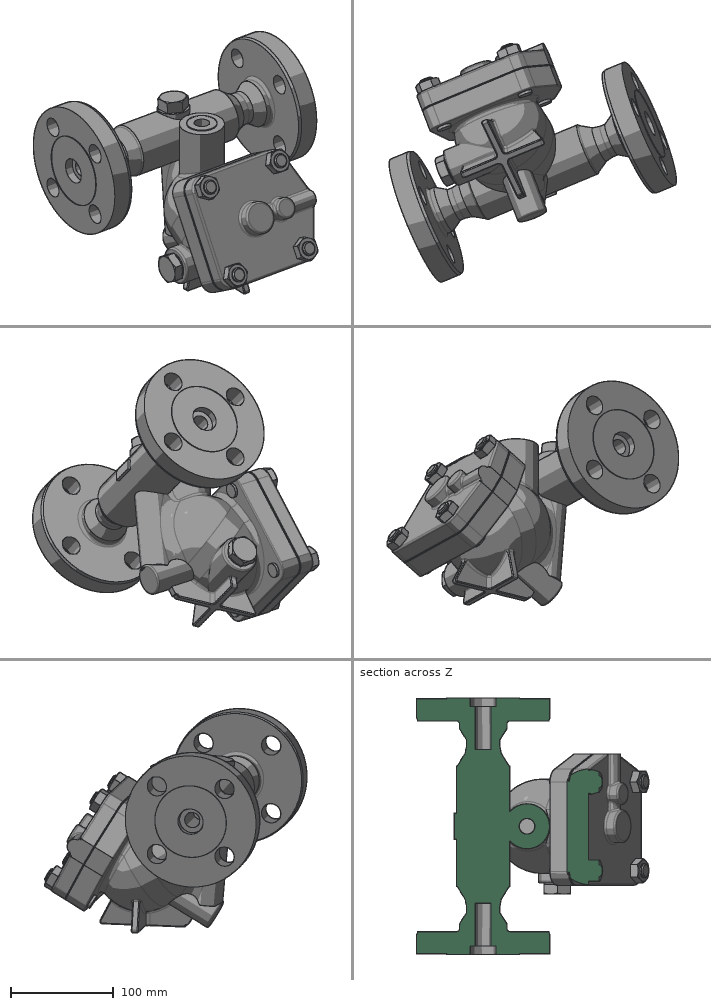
import cadquery as cq
import math


LENGTH = 250.0
FLANGE_DIA = 130.0
RAISED_FACE_DIA = 71.0
RAISED_FACE_HEIGHT = 0.8
FLANGE_BACK_Y = 102.5
FLANGE_EDGE = 3.0
FLANGE_EDGE_DEPTH = 1.0
FLANGE_BOLT_CIRCLE = 95.0
FLANGE_HOLE_DIA = 19.0
HUB_DIA = 46.5
HUB_ROOT = 3.0
HUB_START_Y = 95.0
WAIST_DIA = 32.5
WAIST_OUTER_Y = 84.0
WAIST_INNER_Y = 78.8
TAPER_DIA = 35.5
TAPER_Y = 71.0
PIPE_DIA = 52.0
PIPE_HALF_LENGTH = 58.5
PIPE_CHAMFER = 1.5
SOCKET_DIA = 25.0
SOCKET_DEPTH = 8.2
BORE_DIA = 15.0
BORE_DEPTH = 50.0

PAD_LENGTH = 25.5
PAD_HEIGHT = 10.5
PAD_FACE_X = -28.2

LEG_LEAN = 5.0
LEG_DIA = 30.5
LEG_LENGTH = 105.0
COLLAR_DIA = 32.0
COLLAR_TOP = 27.5
PLUG_TOP = 39.0
PLUG_FLATS = 26.0

PORT_X = 42.8
PORT_DIA = 44.0
PORT_TOP_Z = 29.0
PORT_FACE_DIA = 29.5
PORT_FACE_HEIGHT = 1.0
PORT_FLARE = 4.2

BALL_RADIUS = 46.0
UPPER_BALL = (57.5, -59.5)
LOWER_BALL = (73.8, -69.0)

TILT = 30.0
JOINT_SHIFT = -98.0
BODY_FLANGE_BACK = 51.0
BODY_FLANGE_FRONT = 72.2
GASKET = 1.0
GASKET_INSET = 1.0
COVER_FACE = 89.2
JOINT_HALF_HEIGHT = 57.2
JOINT_SIDE = 57.5
JOINT_SHOULDER = 52.2
JOINT_PEAK = 70.5
JOINT_PEAK_HALF = 10.5
JOINT_CORNER = 13.5
JOINT_EDGE = 2.0
BODY_FLANGE_EDGE = 1.0
CHAMBER_FILLET = 4.2
LEG_FILLET = 12.5
FOOT_FILLET = 2.5
DRAIN_FILLET = 1.0

STUD_SIDE = 43.2
STUD_HEIGHT = 45.0
STUD_DIA = 14.0
STUD_CHAMFER = 1.2
STUD_TOP = 100.5
NUT_TOP = 97.8
NUT_FLATS = 21.0
STUD_BACK = 48.2

COVER_BOSS_TOP = 101.2
LARGE_BOSS_DIA = 32.0
SMALL_BOSS_DIA = 21.0
SMALL_BOSS_SIDE = 31.8
BOSS_ROOT = 2.0
BOSS_EDGE = 2.0
RIB_DIA = 15.0

STRAINER_DIA = 30.0
STRAINER_END = -57.8
STRAINER_SHIFT = -100.8
STRAINER_EDGE = 1.5

DRAIN_X = 72.2
DRAIN_Z = -97.8
DRAIN_DIA = 37.0
DRAIN_END = 55.2
DRAIN_EDGE = 1.8
DRAIN_SEAT_DIA = 26.0
DRAIN_SEAT_END = 56.8
DRAIN_PLUG_END = 66.0

FOOT_Z = -129.0
FOOT_HALF_WIDTH = 44.5
FOOT_SLOPE_X = 0.52
FOOT_SLOPE_Y = 0.28
FOOT_HEIGHT = 50.0
WEB_HEIGHT = 15.0
FOOT_THICKNESS = 7.0
FOOT_CROSS_FILLET = 3.5
FOOT_EDGE = 1.0
FOOT_CORNER = 2.5

HEX_HALF_STEP = 30.0

SEAM_SAMPLES = (0.3, 0.5, 0.7)
SEAM_TOLERANCE = 0.002

NECK_TOLERANCE = 1e-3

leg_plane = cq.Plane(
    origin=(0, 0, 0),
    xDir=(0, 1, 0),
    normal=(-math.sin(math.radians(LEG_LEAN)), 0, math.cos(math.radians(LEG_LEAN))),
)


def tilted_plane(distance, shift=JOINT_SHIFT):
    """Plane across the joint normal: local x is +Y, local y climbs along the joint face."""
    normal_x = math.cos(math.radians(TILT))
    normal_z = math.sin(math.radians(TILT))
    origin = (distance * normal_x - shift * normal_z, 0, distance * normal_z + shift * normal_x)
    return cq.Plane(origin=origin, xDir=(0, 1, 0), normal=(normal_x, 0, normal_z))


OUTERMOST = cq.selectors.DirectionMinMaxSelector(tilted_plane(0).zDir)
INNERMOST = cq.selectors.DirectionMinMaxSelector(tilted_plane(0).zDir, False)


def tilted_rod(dia, start, end, side=0.0, climb=0.0):
    """Cylinder along the joint normal, placed from the middle of the joint."""
    return cq.Workplane(tilted_plane(start)).center(side, climb).circle(dia / 2).extrude(end - start)


def joined_with_fillet(parts, radius):
    """Union of parts, with a fillet along every seam where two of their surfaces meet."""
    joined = parts[0]
    for part in parts[1:]:
        joined = joined.union(part)
    skins = [part.val().Shells()[0] for part in parts]
    seams = []
    for edge in joined.edges().vals():
        samples = [cq.Vertex.makeVertex(*edge.positionAt(t).toTuple()) for t in SEAM_SAMPLES]
        touched = [skin for skin in skins if all(s.distance(skin) < SEAM_TOLERANCE for s in samples)]
        if len(touched) > 1:
            seams.append(edge)
    return joined.newObject(seams).fillet(radius)


def hex_head(plane, flats, height, turn=0.0, side=0.0, climb=0.0):
    """Hexagon with its outer corners turned down to a bevel."""
    corners = flats / math.cos(math.radians(HEX_HALF_STEP))
    bevel = (corners - flats) / 2
    prism = cq.Workplane("XY").polygon(6, corners).extrude(height)
    turned = cq.Workplane("XY").circle(corners / 2).extrude(height)
    turned = turned.faces(">Z").chamfer(bevel / 2, bevel)
    head = prism.intersect(turned).rotate((0, 0, 0), (0, 0, 1), turn)
    head = head.translate((side, climb, 0))
    return cq.Workplane(head.val().moved(cq.Location(plane)))


def pipe_end():
    """Taper, waist, hub and flange at the +Y end, turned about Y."""
    edge_radius = FLANGE_DIA / 2 - FLANGE_EDGE_DEPTH
    face_y = LENGTH / 2 - RAISED_FACE_HEIGHT
    hub_radius = HUB_DIA / 2
    return (
        cq.Workplane("XY")
        .moveTo(0, PIPE_HALF_LENGTH)
        .lineTo(PIPE_DIA / 2, PIPE_HALF_LENGTH)
        .lineTo(PIPE_DIA / 2 - PIPE_CHAMFER, PIPE_HALF_LENGTH + PIPE_CHAMFER)
        .lineTo(TAPER_DIA / 2, TAPER_Y)
        .lineTo(WAIST_DIA / 2, WAIST_INNER_Y)
        .lineTo(WAIST_DIA / 2, WAIST_OUTER_Y)
        .lineTo(hub_radius, HUB_START_Y)
        .lineTo(hub_radius, FLANGE_BACK_Y - HUB_ROOT)
        .radiusArc((hub_radius + HUB_ROOT, FLANGE_BACK_Y), HUB_ROOT)
        .lineTo(edge_radius, FLANGE_BACK_Y)
        .lineTo(FLANGE_DIA / 2, FLANGE_BACK_Y + FLANGE_EDGE)
        .lineTo(FLANGE_DIA / 2, face_y)
        .lineTo(RAISED_FACE_DIA / 2, face_y)
        .lineTo(RAISED_FACE_DIA / 2, LENGTH / 2)
        .lineTo(0, LENGTH / 2)
        .close()
        .revolve(360, (0, 0, 0), (0, 1, 0))
    )


def pipe():
    start = cq.Workplane("XZ", origin=(0, PIPE_HALF_LENGTH, 0))
    middle = start.circle(PIPE_DIA / 2).extrude(2 * PIPE_HALF_LENGTH)
    end = pipe_end()
    return middle.union(end).union(end.mirror("XZ"))


def pipe_holes():
    """Bolt holes, socket and bore of both flanges."""
    face = cq.Workplane("XZ", origin=(0, LENGTH / 2, 0))
    spacing = FLANGE_BOLT_CIRCLE / math.sqrt(2)
    holes = face.rect(spacing, spacing, forConstruction=True).vertices()
    cut = holes.circle(FLANGE_HOLE_DIA / 2).extrude(LENGTH / 2 - FLANGE_BACK_Y)
    cut = cut.union(face.circle(SOCKET_DIA / 2).extrude(SOCKET_DEPTH))
    cut = cut.union(face.circle(BORE_DIA / 2).extrude(BORE_DEPTH))
    return cut.union(cut.mirror("XZ"))


def joint_plate(start, end, inset=0.0):
    """Rounded square plate whose +Y side rises to a flat peak."""
    outline = [
        (-JOINT_SIDE, -JOINT_HALF_HEIGHT),
        (JOINT_SHOULDER, -JOINT_HALF_HEIGHT),
        (JOINT_PEAK, -JOINT_PEAK_HALF),
        (JOINT_PEAK, JOINT_PEAK_HALF),
        (JOINT_SHOULDER, JOINT_HALF_HEIGHT),
        (-JOINT_SIDE, JOINT_HALF_HEIGHT),
    ]
    plate = cq.Workplane("XY").polyline(outline).close().extrude(end - start)
    below_peak = cq.selectors.BoxSelector(
        (-LENGTH, -LENGTH, -LENGTH), (JOINT_PEAK - JOINT_CORNER, LENGTH, LENGTH)
    )
    plate = plate.edges("|Z").edges(below_peak).fillet(JOINT_CORNER)
    if inset:
        rim = plate.faces("<Z").wires().toPending()
        plate = rim.offset2D(-inset).extrude(end - start, combine=False)
    return cq.Workplane(plate.val().moved(cq.Location(tilted_plane(start))))


def chamber():
    """Stretched ball turned about the line through its two centres."""
    stretch_x = LOWER_BALL[0] - UPPER_BALL[0]
    stretch_z = LOWER_BALL[1] - UPPER_BALL[1]
    stretch = math.hypot(stretch_x, stretch_z)
    axis = cq.Plane(
        origin=(UPPER_BALL[0], 0, UPPER_BALL[1]),
        xDir=(stretch_x, 0, stretch_z),
        normal=(0, -1, 0),
    )
    arc_reach = BALL_RADIUS * math.sqrt(0.5)
    return (
        cq.Workplane(axis)
        .moveTo(-BALL_RADIUS, 0)
        .threePointArc((-arc_reach, arc_reach), (0, BALL_RADIUS))
        .lineTo(stretch, BALL_RADIUS)
        .threePointArc((stretch + arc_reach, arc_reach), (stretch + BALL_RADIUS, 0))
        .close()
        .revolve(360, (0, 0, 0), (1, 0, 0))
    )


def cover():
    floor = BODY_FLANGE_FRONT + GASKET
    plate = joint_plate(floor, COVER_FACE)
    large = tilted_rod(LARGE_BOSS_DIA, floor, COVER_BOSS_TOP)
    small = tilted_rod(SMALL_BOSS_DIA, floor, COVER_BOSS_TOP, SMALL_BOSS_SIDE)
    rib = cq.Workplane("XZ", origin=tilted_plane(COVER_FACE).origin.toTuple())
    rib = rib.circle(RIB_DIA / 2).extrude(-JOINT_PEAK)
    large = large.faces(OUTERMOST).edges().fillet(BOSS_EDGE)
    small = small.faces(OUTERMOST).edges().fillet(BOSS_EDGE)
    raised = joined_with_fillet([plate, rib, large, small], BOSS_ROOT)

    rounded = plate.faces(OUTERMOST).edges().fillet(JOINT_EDGE)
    rib_end = cq.Workplane(tilted_plane(floor)).center(JOINT_PEAK, 0)
    rib_keep = rib_end.rect(2 * RIB_DIA, RIB_DIA + 2 * BOSS_ROOT).extrude(COVER_FACE)
    trimmed = plate.cut(rounded).cut(rib_keep)
    return raised.cut(trimmed)


def studs():
    parts = cq.Workplane("XY")
    for side in (-STUD_SIDE, STUD_SIDE):
        for climb in (-STUD_HEIGHT, STUD_HEIGHT):
            turn = HEX_HALF_STEP if side * climb < 0 else 0.0
            stud = tilted_rod(STUD_DIA, STUD_BACK, STUD_TOP, side, climb)
            parts = parts.union(stud.faces(OUTERMOST).edges().chamfer(STUD_CHAMFER))
            nut = hex_head(tilted_plane(COVER_FACE), NUT_FLATS, NUT_TOP - COVER_FACE, turn, side, climb)
            parts = parts.union(nut)
    return parts


def leg():
    return cq.Workplane(leg_plane).circle(LEG_DIA / 2).extrude(-LEG_LENGTH)


def top_plug():
    collar = cq.Workplane(leg_plane).circle(COLLAR_DIA / 2).extrude(COLLAR_TOP)
    seat = leg_plane.toWorldCoords((0, 0, COLLAR_TOP))
    seat_plane = cq.Plane(origin=seat, xDir=leg_plane.xDir, normal=leg_plane.zDir)
    return collar.union(hex_head(seat_plane, PLUG_FLATS, PLUG_TOP - COLLAR_TOP, HEX_HALF_STEP))


def port():
    top = cq.Workplane("XY", origin=(PORT_X, 0, PORT_TOP_Z))
    return top.circle(PORT_DIA / 2).extrude(UPPER_BALL[1] - PORT_TOP_Z)


def port_face():
    top = cq.Workplane("XY", origin=(PORT_X, 0, PORT_TOP_Z))
    return top.circle(PORT_FACE_DIA / 2).extrude(PORT_FACE_HEIGHT)


def port_bore():
    top = cq.Workplane("XY", origin=(PORT_X, 0, PORT_TOP_Z + PORT_FACE_HEIGHT))
    return top.circle(BORE_DIA / 2).extrude(-BORE_DEPTH)


def name_pad():
    face = cq.Workplane("YZ", origin=(PAD_FACE_X, 0, 0))
    return face.rect(PAD_LENGTH, PAD_HEIGHT).extrude(-PAD_FACE_X)


def strainer():
    rod = cq.Workplane(tilted_plane(STRAINER_END, STRAINER_SHIFT)).circle(STRAINER_DIA / 2)
    rod = rod.extrude(-STRAINER_END)
    return rod.faces(INNERMOST).edges().fillet(STRAINER_EDGE)


def drain():
    axis = cq.Workplane("XZ", origin=(DRAIN_X, 0, DRAIN_Z))
    boss = axis.circle(DRAIN_DIA / 2).extrude(DRAIN_END).faces("<Y").edges().fillet(DRAIN_EDGE)
    seat = axis.circle(DRAIN_SEAT_DIA / 2).extrude(DRAIN_SEAT_END)
    head_plane = cq.Plane(origin=(DRAIN_X, -DRAIN_SEAT_END, DRAIN_Z), xDir=(1, 0, 0), normal=(0, -1, 0))
    head = hex_head(head_plane, PLUG_FLATS, DRAIN_PLUG_END - DRAIN_SEAT_END, HEX_HALF_STEP)
    return boss.union(seat).union(head)


def foot_plate(plane, outline):
    plate = cq.Workplane(plane, origin=(DRAIN_X, 0, FOOT_Z)).polyline(outline).close()
    return plate.extrude(FOOT_THICKNESS / 2, both=True)


def foot_trapezoid(plane, across, slope):
    """Support plate narrowing upwards, with its two ground corners rounded."""
    top_half = FOOT_HALF_WIDTH - slope * FOOT_HEIGHT
    outline = [
        (-FOOT_HALF_WIDTH, 0),
        (FOOT_HALF_WIDTH, 0),
        (top_half, FOOT_HEIGHT),
        (-top_half, FOOT_HEIGHT),
    ]
    return foot_plate(plane, outline).faces("<Z").edges(across).fillet(FOOT_CORNER)


def foot():
    along_x = foot_trapezoid("XZ", "|Y", FOOT_SLOPE_X)
    along_y = foot_trapezoid("YZ", "|X", FOOT_SLOPE_Y)
    crossed = joined_with_fillet([along_x, along_y], FOOT_CROSS_FILLET)
    return crossed.faces("<Z").edges().chamfer(FOOT_EDGE)


def strainer_web():
    """Extension of the support plate along X that leans out to meet the strainer."""
    outline = [
        (0, FOOT_CORNER),
        (-FOOT_HALF_WIDTH, FOOT_CORNER),
        (-FOOT_HALF_WIDTH - FOOT_SLOPE_X * WEB_HEIGHT, WEB_HEIGHT),
        (FOOT_SLOPE_X * FOOT_HEIGHT - FOOT_HALF_WIDTH, FOOT_HEIGHT),
        (0, FOOT_HEIGHT),
    ]
    return foot_plate("XZ", outline)


def body_flange():
    plate = joint_plate(BODY_FLANGE_BACK, BODY_FLANGE_FRONT)
    return plate.faces(INNERMOST).edges().fillet(BODY_FLANGE_EDGE)


def gasket():
    return joint_plate(BODY_FLANGE_FRONT, BODY_FLANGE_FRONT + GASKET, GASKET_INSET)


def body():
    """Chamber with its attachments blended into it, closed off by the body flange."""
    ball = chamber()
    attachments = [
        (leg(), LEG_FILLET),
        (port(), PORT_FLARE),
        (foot(), FOOT_FILLET),
        (drain(), DRAIN_FILLET),
    ]
    blended = ball
    for part, radius in attachments:
        blended = joined_with_fillet([blended, part], radius)
    blended = blended.union(strainer()).union(strainer_web())

    beyond_flange = cq.Workplane(tilted_plane(BODY_FLANGE_BACK)).rect(LENGTH, LENGTH).extrude(LENGTH)
    neck = joined_with_fillet([ball.cut(beyond_flange), body_flange()], CHAMBER_FILLET)
    return blended.cut(beyond_flange).union(neck, tol=NECK_TOLERANCE).union(port())


result = body()
for outer_part in (pipe(), name_pad(), port_face(), top_plug(), gasket(), cover(), studs()):
    result = result.union(outer_part)
result = result.cut(pipe_holes()).cut(port_bore())